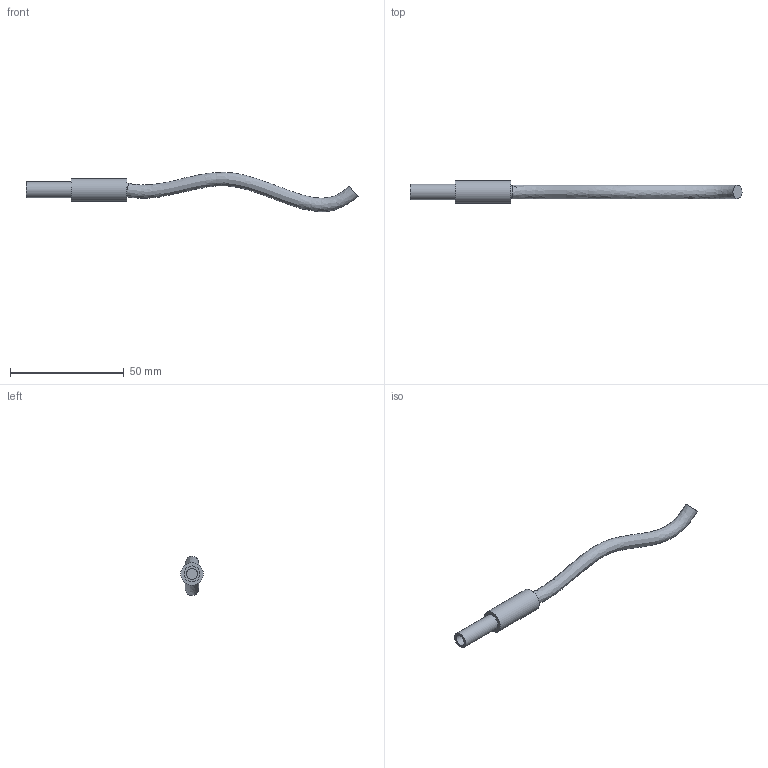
import cadquery as cq
import math

tip_length = 20.0
tip_diameter = 7.0
bore_diameter = 5.0
bore_depth = tip_length

sleeve_length = 24.2
sleeve_diameter = 10.0
sleeve_end = tip_length + sleeve_length

cable_diameter = 6.0
root_length = 2.0
cable_start = (sleeve_end + 0.3, 0.0)
first_dip = (50.5, -0.7)
crest = (88.4, 4.69)
second_dip = (129.7, -6.55)
cable_end = (144.0, -0.55)
start_angle = -12.0
end_angle = 42.0


def rod(start, length, diameter):
    """Round bar along +X, beginning at X = start."""
    return cq.Workplane("YZ", origin=(start, 0, 0)).circle(diameter / 2).extrude(length)


def heading(angle):
    """Unit direction in the XZ plane, measured from +X towards +Z."""
    return (math.cos(math.radians(angle)), math.sin(math.radians(angle)))


def cable_section():
    """Cable cross-section, square to the centre line where the wavy run begins."""
    direction_x, direction_z = heading(start_angle)
    start_plane = cq.Plane(
        origin=(cable_start[0], 0, cable_start[1]),
        xDir=(0, 1, 0),
        normal=(direction_x, 0, direction_z),
    )
    return cq.Workplane(start_plane).circle(cable_diameter / 2)


def wavy_run():
    """Free length of the cable, swept along its curved centre line."""
    centre_line = cq.Workplane("XZ").spline(
        [cable_start, first_dip, crest, second_dip, cable_end],
        tangents=[heading(start_angle), heading(end_angle)],
    )
    return cable_section().sweep(centre_line)


def cable_root():
    """Straight piece running back from the wavy run into the sleeve."""
    return cable_section().extrude(-root_length)


tip = rod(0, tip_length, tip_diameter)
sleeve = rod(tip_length, sleeve_length, sleeve_diameter)
bore = rod(0, bore_depth, bore_diameter)

result = tip.union(sleeve).union(cable_root()).union(wavy_run()).cut(bore)